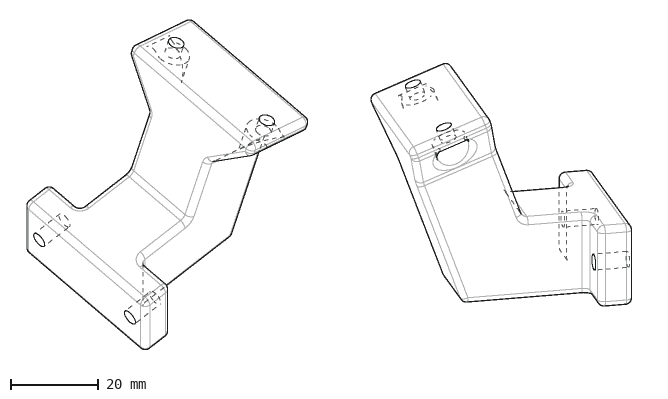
import cadquery as cq
import math

total_depth = 52.2
total_height = 48.2
plate_width = 40.0
neck_width = 20.0
edge_radius = 1.5

foot_height = 19.5
foot_plate_depth = 8.0

lean_angle = 20.0
arm_thickness = 20.0

head_rim = 3.0
flare_reach = (plate_width - neck_width) / 2

hole_spacing = 30.0
hole_diameter = 3.65
foot_hole_height = 9.5
recess_diameter = 8.0
recess_seat = 3.25

lean = math.radians(lean_angle)

top_edge_height = total_height - edge_radius - (arm_thickness - edge_radius) * math.sin(lean)
arm_length = edge_radius + top_edge_height / math.cos(lean)

heel_y = (
    total_depth
    - edge_radius
    - (arm_length - edge_radius) * math.sin(lean)
    + edge_radius * math.cos(lean)
)

heel = cq.Vector(0, heel_y, 0)
up_arm = cq.Vector(0, math.sin(lean), math.cos(lean))
across_arm = cq.Vector(0, -math.cos(lean), math.sin(lean))

top_back = heel + up_arm * arm_length
top_front = top_back + across_arm * arm_thickness
top_center = top_back + across_arm * (arm_thickness / 2)
arm_axis = cq.Plane(origin=top_center, xDir=(1, 0, 0), normal=up_arm)
inner_bend_y = heel_y + foot_height * math.tan(lean) - arm_thickness / math.cos(lean)


def bent_neck():
    """Foot and arm as one bent bar of constant width."""
    side_outline = [
        (0, 0),
        (heel_y, 0),
        (top_back.y, top_back.z),
        (top_front.y, top_front.z),
        (inner_bend_y, foot_height),
        (0, foot_height),
    ]
    return cq.Workplane("YZ").polyline(side_outline).close().extrude(neck_width / 2, both=True)


def foot_plate():
    """Wide upright plate at the front of the foot."""
    return cq.Workplane("XY").box(
        plate_width, foot_plate_depth, foot_height, centered=(True, False, False)
    )


def flared_head():
    """Wide top of the arm, tapering at 45 degrees down to the neck."""
    back_face = cq.Plane(origin=top_back, xDir=(1, 0, 0), normal=across_arm)
    neck_depth = head_rim + flare_reach
    outline = [
        (-plate_width / 2, 0),
        (plate_width / 2, 0),
        (plate_width / 2, -head_rim),
        (neck_width / 2, -neck_depth),
        (-neck_width / 2, -neck_depth),
        (-plate_width / 2, -head_rim),
    ]
    return cq.Workplane(back_face).polyline(outline).close().extrude(arm_thickness)


def foot_screw_hole(x):
    """Hole along Y through the foot plate."""
    plate_face = cq.Workplane("XZ").center(x, foot_hole_height)
    return plate_face.circle(hole_diameter / 2).extrude(-foot_plate_depth)


def head_screw_hole(x):
    """Hole along the arm, from the top face out through the taper."""
    top_face = cq.Workplane(arm_axis).center(x, 0)
    return top_face.circle(hole_diameter / 2).extrude(-head_rim - flare_reach)


def screw_head_recess():
    """Volume of the +X recess: a bore up into the taper, with a rounded mouth.

    A block ending on the taper plane is bored and its mouth rounded; the
    material it lost, below the seat, is the recess.
    """
    inner_x = neck_width / 2 - recess_diameter
    outer_x = plate_width / 2 + recess_diameter
    taper_drop = head_rim + plate_width / 2
    outline = [
        (inner_x, recess_diameter),
        (outer_x, recess_diameter),
        (outer_x, outer_x - taper_drop),
        (inner_x, inner_x - taper_drop),
    ]
    block = cq.Workplane("XZ").polyline(outline).close().extrude(recess_diameter, both=True)
    bore = (
        cq.Workplane("XY", origin=(hole_spacing / 2, 0, -2 * recess_diameter))
        .circle(recess_diameter / 2)
        .extrude(4 * recess_diameter)
    )
    taper_face = cq.selectors.DirectionMinMaxSelector(cq.Vector(1, 0, -1), True)
    bored = block.cut(bore)
    rounded = bored.faces(taper_face).edges("%ELLIPSE").fillet(edge_radius)
    seat_plane = cq.Workplane("XY", origin=(0, 0, -recess_seat))
    below_seat = seat_plane.rect(2 * outer_x, 2 * recess_diameter).extrude(-3 * recess_diameter)
    recess = block.cut(rounded).intersect(below_seat)
    return cq.Workplane(recess.val().moved(arm_axis.location))


body = bent_neck().union(foot_plate()).union(flared_head()).clean()
body = body.edges().fillet(edge_radius)

for side in (-1, 1):
    foot_hole = foot_screw_hole(side * hole_spacing / 2)
    head_hole = head_screw_hole(side * hole_spacing / 2)
    body = body.cut(foot_hole).cut(head_hole)

right_recess = screw_head_recess()
left_recess = right_recess.mirror("YZ")
result = body.cut(right_recess).cut(left_recess)